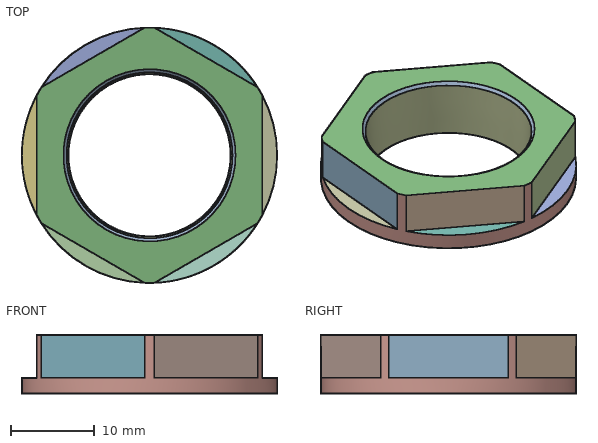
import cadquery as cq

flange_diameter = 30.48
flange_height = 1.9
total_height = 7.0
across_flats = 26.95

bore_top_diameter = 20.55
bore_neck_diameter = 19.8
bore_bottom_diameter = 19.32
chamfer_depth = 0.37


def make_flange():
    return cq.Workplane("XY").circle(flange_diameter / 2).extrude(flange_height)


def make_hexagon():
    """Hexagon with flats facing +X and -X, its corners rounded to the flange diameter."""
    hexagon = (
        cq.Workplane("XY")
        .polygon(6, across_flats, circumscribed=True)
        .extrude(total_height)
    )
    envelope = cq.Workplane("XY").circle(flange_diameter / 2).extrude(total_height)
    return hexagon.intersect(envelope)


def make_bore():
    """Revolved profile of the tapered hole and its top chamfer."""
    return (
        cq.Workplane("XZ")
        .moveTo(0, 0)
        .lineTo(bore_bottom_diameter / 2, 0)
        .lineTo(bore_neck_diameter / 2, total_height - chamfer_depth)
        .lineTo(bore_top_diameter / 2, total_height)
        .lineTo(0, total_height)
        .close()
        .revolve(360, (0, 0, 0), (0, 1, 0))
    )


result = make_flange().union(make_hexagon()).cut(make_bore())